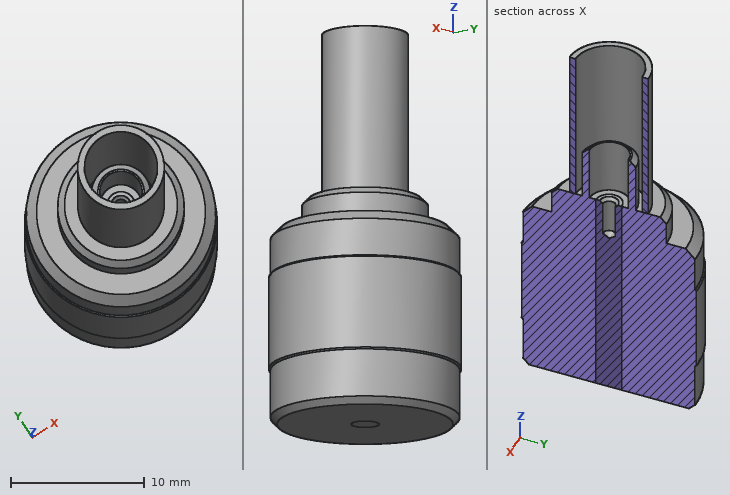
import cadquery as cq
import math

body_diameter = 14.25
body_height = 15.0
base_chamfer = 0.5
shoulder_chamfer = 0.78

band_diameter = 14.5
band_bottom = 4.15
band_top = 11.4
band_chamfer = (band_diameter - body_diameter) / 2

collar_diameter = 9.5
collar_top = 17.3
collar_chamfer = 0.5

post_diameter = 4.45
post_height = 4.5
post_chamfer = 0.48
post_bore_diameter = 3.18
post_top = collar_top + post_height

total_height = 30.0
sleeve_diameter = 6.5
sleeve_bore_diameter = 5.5

pin_diameter = 2.1
pin_top = collar_top
cup_diameter = 1.02
cup_depth = 3.0
cup_mouth_diameter = 1.5
cup_mouth_chamfer = (cup_mouth_diameter - cup_diameter) / 2
drill_point_angle = 118.0


def cylinder(diameter, bottom, top):
    """Solid cylinder on the Z axis between two heights."""
    return cq.Workplane("XY").workplane(offset=bottom).circle(diameter / 2).extrude(top - bottom)


def make_housing():
    """Chamfered body, band, collar and post, with the post bore and the pin hole."""
    body = cylinder(body_diameter, 0, body_height)
    body = body.faces("<Z").edges().chamfer(base_chamfer)
    body = body.faces(">Z").edges().chamfer(shoulder_chamfer)
    band = cylinder(band_diameter, band_bottom, band_top).edges("%CIRCLE").chamfer(band_chamfer)
    collar = cylinder(collar_diameter, body_height, collar_top).faces(">Z").edges().chamfer(collar_chamfer)
    post = cylinder(post_diameter, collar_top, post_top).faces(">Z").edges().chamfer(post_chamfer)
    housing = body.union(band).union(collar).union(post)
    housing = housing.cut(cylinder(post_bore_diameter, collar_top, post_top))
    return housing.cut(cylinder(pin_diameter, 0, collar_top))


def make_sleeve():
    """Plain tube from the collar to the top of the part."""
    outside = cylinder(sleeve_diameter, collar_top, total_height)
    return outside.cut(cylinder(sleeve_bore_diameter, collar_top, total_height))


def make_pin():
    """Round pin with a drilled, countersunk cup in its upper end."""
    cup_radius = cup_diameter / 2
    cup_floor = pin_top - cup_depth
    drill_point_depth = cup_radius / math.tan(math.radians(drill_point_angle / 2))
    cup = (
        cq.Workplane("XZ")
        .moveTo(0, pin_top)
        .lineTo(cup_mouth_diameter / 2, pin_top)
        .lineTo(cup_radius, pin_top - cup_mouth_chamfer)
        .lineTo(cup_radius, cup_floor)
        .lineTo(0, cup_floor - drill_point_depth)
        .close()
        .revolve(360, (0, 0), (0, 1))
    )
    return cylinder(pin_diameter, 0, pin_top).cut(cup)


housing = make_housing()
sleeve = make_sleeve()
pin = make_pin()

result = cq.Compound.makeCompound([housing.val(), sleeve.val(), pin.val()])